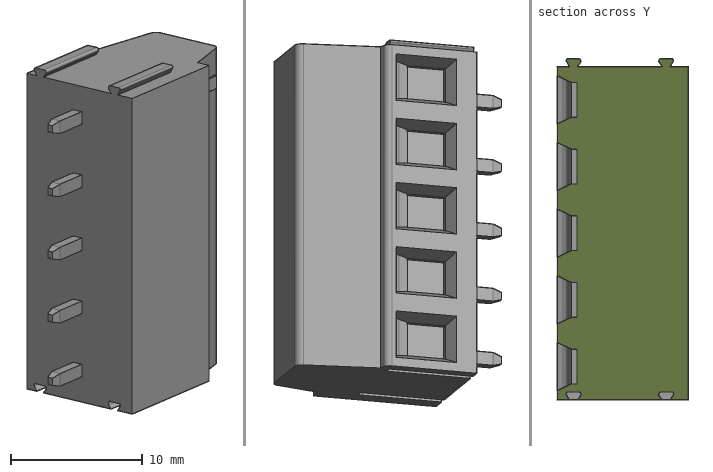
import cadquery as cq
import math


overall_height = 26.0
pole_count = 5
housing_height = 25.4
pole_pitch = housing_height / pole_count
housing_width = 10.0
housing_depth = 13.8

crown_left_x = 1.92
crown_right_x = 7.88
crown_fillet = 0.6
wire_step_x = 0.83
wire_step_y = 7.44
ledge_y = 7.2
wire_step_fillet = 0.52
back_step_x = 8.92
back_step_y = 9.8

rail_height = overall_height - housing_height
rail_length = 6.7
rail_pair_center_x = 4.78
rail_tip_inner = 2.78
rail_tip_outer = 4.19
rail_root_inner = 3.22
rail_root_outer = 3.85
rail_inner_fillet = 0.18
rail_outer_fillet = 0.13

pin_center_x = 4.8
pin_width = 0.8
pin_height = 1.01
pin_length = 3.48
pin_tip_length = 0.73
pin_tip_width = 0.45
pin_tip_height = 0.57

entry_low_y = 1.65
entry_high_y = 6.45
entry_height = 3.67
entry_depth = 1.1
entry_wall_inset = 0.52
clamp_high_y = 5.2
clamp_depth = 1.5
roof_start = (0.45, 6.35)
roof_middle = (0.7, 6.21)
roof_end = (0.83, 5.98)

lug_face_x = 8.37
lug_top_y = 12.95
lug_ridge_y = 13.03
lug_root_x = 7.8
lug_foot_y = 11.7
lug_height = 1.05

pole_centers = [(index + 0.5) * pole_pitch for index in range(pole_count)]


def housing():
    block = (
        cq.Workplane("XY")
        .polyline([
            (0, 0),
            (housing_width, 0),
            (housing_width, back_step_y),
            (back_step_x, back_step_y),
            (crown_right_x, housing_depth),
            (crown_left_x, housing_depth),
            (wire_step_x, wire_step_y),
            (0, ledge_y),
        ])
        .close()
        .extrude(housing_height)
    )
    block = block.edges("|Z").edges(">Y").fillet(crown_fillet)
    ledge_edge = cq.selectors.NearestToPointSelector((0, ledge_y, housing_height / 2))
    return block.edges(ledge_edge).fillet(wire_step_fillet)


def rail(side, base_z):
    outline = [
        (rail_root_inner, 0),
        (rail_root_outer, 0),
        (rail_tip_outer, rail_height),
        (rail_tip_inner, rail_height),
    ]
    points = [(rail_pair_center_x + side * x, base_z + z) for x, z in outline]
    bar = cq.Workplane("XZ").polyline(points).close().extrude(-rail_length)
    for tip_x, radius in ((rail_tip_inner, rail_inner_fillet), (rail_tip_outer, rail_outer_fillet)):
        tip_point = (rail_pair_center_x + side * tip_x, rail_length / 2, base_z + rail_height)
        bar = bar.edges(cq.selectors.NearestToPointSelector(tip_point)).fillet(radius)
    return bar


def solder_pin(center_z):
    shank_length = pin_length - pin_tip_length
    shank = (
        cq.Workplane("XZ", origin=(pin_center_x, 0, center_z))
        .rect(pin_width, pin_height)
        .extrude(shank_length)
    )
    tip = (
        cq.Workplane("XZ", origin=(pin_center_x, -shank_length, center_z))
        .rect(pin_width, pin_height)
        .workplane(offset=pin_tip_length)
        .rect(pin_tip_width, pin_tip_height)
        .loft()
    )
    return shank.union(tip)


def wire_entry(center_z):
    taper = math.degrees(math.atan(entry_wall_inset / entry_depth))
    funnel_length = 2 * (entry_high_y - entry_low_y)
    funnel = (
        cq.Workplane("YZ", origin=(0, entry_low_y + funnel_length / 2, center_z))
        .rect(funnel_length, entry_height)
        .extrude(entry_depth, taper=taper)
    )
    roof = (
        cq.Workplane("XY", origin=(0, 0, center_z - entry_height / 2))
        .moveTo(0, 0)
        .lineTo(0, entry_high_y)
        .lineTo(*roof_start)
        .threePointArc(roof_middle, roof_end)
        .lineTo(entry_depth, clamp_high_y)
        .lineTo(entry_depth, 0)
        .close()
        .extrude(entry_height)
    )
    clamp_low_y = entry_low_y + entry_wall_inset
    clamp = (
        cq.Workplane("YZ", origin=(0, (clamp_low_y + clamp_high_y) / 2, center_z))
        .rect(clamp_high_y - clamp_low_y, entry_height - 2 * entry_wall_inset)
        .extrude(clamp_depth)
    )
    return funnel.intersect(roof).union(clamp)


def back_lug(center_z):
    return (
        cq.Workplane("XY", origin=(0, 0, center_z - lug_height / 2))
        .polyline([
            (lug_root_x, lug_foot_y),
            (lug_face_x, lug_foot_y),
            (lug_face_x, lug_top_y),
            (lug_root_x, lug_ridge_y),
        ])
        .close()
        .extrude(lug_height)
    )


result = housing()
for side in (-1, 1):
    result = result.union(rail(side, housing_height)).cut(rail(side, 0))
for center_z in pole_centers:
    result = result.cut(wire_entry(center_z)).union(solder_pin(center_z))
result = result.union(back_lug(pole_centers[-1]))